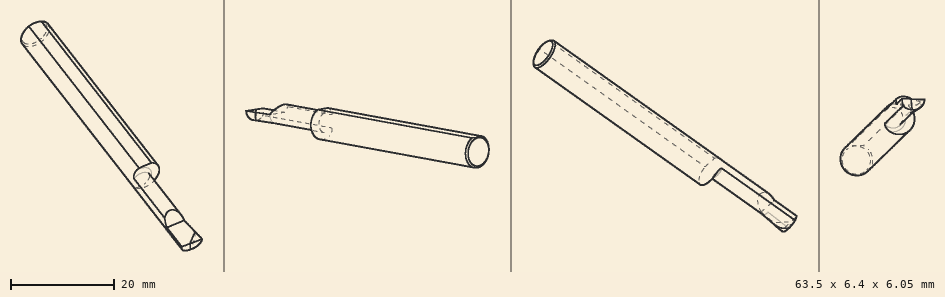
import cadquery as cq
import math

total_length = 63.5
shank_radius = 3.2
shank_length = 43.45
flat_height = 2.85
chamfer_length = 0.3
chamfer_depth = 0.4

neck_radius = 2.05
neck_offset = -1.35
root_fillet = 0.65

rake_start = total_length - 6.05
rake_height = 0.0
corner_y = 1.3
end_setback = 0.2
relief_angle = 7.0

tip_length = 2.6
tip_width = 2.8

margin = 3.2


def rod_plane(x, y=0.0):
    """Plane across the bar, facing +X, with its local x along Y."""
    return cq.Plane(origin=(x, y, 0), xDir=(0, 1, 0), normal=(1, 0, 0))


def make_shank():
    """Chamfered round bar with the top cut flat."""
    profile = [
        (0, 0),
        (0, shank_radius - chamfer_depth),
        (chamfer_length, shank_radius),
        (shank_length, shank_radius),
        (shank_length, 0),
    ]
    bar = cq.Workplane("XY").polyline(profile).close().revolve(360, (0, 0), (1, 0))
    above_flat = cq.Workplane("XY").box(
        shank_length, 2 * shank_radius, margin, centered=(False, True, False)
    ).translate((0, 0, flat_height))
    return bar.cut(above_flat)


def make_neck():
    """Offset round bar with a concave fillet where it leaves the shank."""
    rod = cq.Workplane(rod_plane(shank_length, neck_offset)).circle(neck_radius)
    rod = rod.extrude(total_length - shank_length)

    flare_radius = neck_radius + root_fillet
    fillet_end = shank_length + root_fillet
    arc_reach = root_fillet * (1 - math.sqrt(0.5))
    flare = (
        cq.Workplane("XY")
        .moveTo(shank_length, 0)
        .lineTo(shank_length, flare_radius)
        .threePointArc((shank_length + arc_reach, neck_radius + arc_reach), (fillet_end, neck_radius))
        .lineTo(fillet_end, 0)
        .close()
        .revolve(360, (0, 0), (1, 0))
        .translate((0, neck_offset, 0))
    )
    return rod.union(flare, clean=False)


def make_head_widening():
    """Neck circle swept sideways so that its +Y side ends at the cutting corner."""
    head_length = total_length - rake_start
    sideways_shift = corner_y - neck_offset - neck_radius
    return (
        cq.Workplane(rod_plane(rake_start, neck_offset))
        .circle(neck_radius)
        .workplane(offset=head_length)
        .center(sideways_shift, 0)
        .circle(neck_radius)
        .loft(ruled=True)
    )


def make_rake_cutter():
    """Block above the rake face, with a 45 degree ramp up to the top of the neck."""
    top = neck_radius + margin
    ramp_run = top - rake_height
    outline = [
        (rake_start, rake_height),
        (total_length + margin, rake_height),
        (total_length + margin, top),
        (rake_start - ramp_run, top),
    ]
    return (
        cq.Workplane("XZ").polyline(outline).close()
        .extrude(shank_radius + margin, both=True)
    )


def make_end_cutter():
    """Block beyond the end face, which falls back towards -Y and leans back below the rake face."""
    skew = math.degrees(math.atan2(end_setback, corner_y + shank_radius))
    block_depth = 4 * shank_radius
    return (
        cq.Workplane("XY")
        .box(margin, block_depth, block_depth, centered=(False, True, True))
        .rotate((0, 0, 0), (0, 1, 0), relief_angle)
        .rotate((0, 0, 0), (0, 0, 1), -skew)
        .translate((total_length, corner_y, rake_height))
    )


def make_tip_region():
    """Vertical prism that separates the cutting corner from the bar."""
    slope = tip_width / tip_length
    outline = [
        (total_length - tip_length - margin, corner_y + slope * margin),
        (total_length + margin, corner_y - tip_width - slope * margin),
        (total_length + margin, corner_y + slope * margin),
    ]
    return (
        cq.Workplane("XY").polyline(outline).close()
        .extrude(shank_radius, both=True)
    )


envelope = cq.Workplane(rod_plane(0)).circle(shank_radius).extrude(total_length)
working_end = make_neck().union(make_head_widening(), clean=False).intersect(envelope)
working_end = working_end.cut(make_rake_cutter()).cut(make_end_cutter())

tip_region = make_tip_region()
bar = make_shank().union(working_end.cut(tip_region)).solids()
cutting_tip = working_end.intersect(tip_region).solids()

result = cq.Compound.makeCompound([bar.val(), cutting_tip.val()])